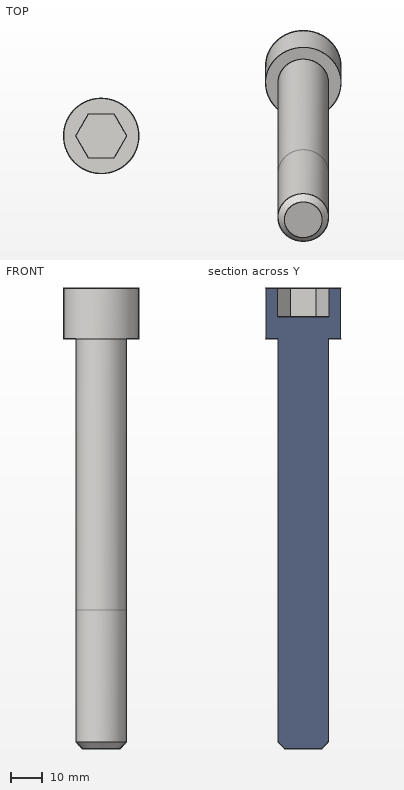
import cadquery as cq
import math

total_length = 146.0
shank_diameter = 16.0
head_diameter = 24.0
head_height = 16.0
thread_length = 44.0
tip_diameter = 12.0
tip_chamfer_height = 2.2
socket_across_flats = 14.0
socket_depth = 9.0

shank_radius = shank_diameter / 2
shank_length = total_length - head_height


def make_threaded_end():
    """Plain cylinder standing for the thread, with a conical tip below."""
    profile = [
        (0, 0),
        (tip_diameter / 2, 0),
        (shank_radius, tip_chamfer_height),
        (shank_radius, thread_length),
        (0, thread_length),
    ]
    return cq.Workplane("XZ").polyline(profile).close().revolve(360, (0, 0), (0, 1))


def make_plain_shank():
    plain_length = shank_length - thread_length
    return cq.Workplane("XY").workplane(offset=thread_length).circle(shank_radius).extrude(plain_length)


def make_head():
    return cq.Workplane("XY").workplane(offset=shank_length).circle(head_diameter / 2).extrude(head_height)


def make_socket():
    """Hexagonal recess with two corners on the X axis."""
    across_corners = socket_across_flats / math.cos(math.pi / 6)
    floor = total_length - socket_depth
    return cq.Workplane("XY").workplane(offset=floor).polygon(6, across_corners).extrude(socket_depth)


shank = make_threaded_end().union(make_plain_shank(), clean=False)
result = shank.union(make_head(), clean=False).cut(make_socket(), clean=False)